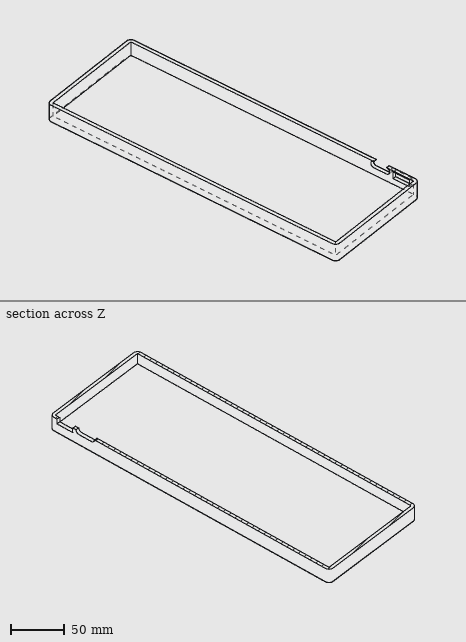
import cadquery as cq

length = 348.0
width = 126.0
height = 20.0
wall = 4.0
floor_thickness = 4.0
corner_radius = 5.0

slot_center_x = 130.0
slot_straight_length = 15.0
slot_height = 7.5
slot_center_z = height - slot_height / 2

window_left = 145.5
window_right = 165.0
window_bottom = 10.75
window_height = 8.0


def tray():
    outer = cq.Workplane("XY").box(length, width, height, centered=(True, True, False))
    outer = outer.edges("|Z").fillet(corner_radius)
    cavity = cq.Workplane("XY", origin=(0, 0, floor_thickness)).box(
        length - 2 * wall,
        width - 2 * wall,
        height - floor_thickness,
        centered=(True, True, False),
    )
    return outer.cut(cavity)


def back_wall_sketch(x, z):
    """Sketch plane on the outer back face; a positive extrusion runs inward through the wall."""
    return cq.Workplane("XZ", origin=(x, width / 2, z))


def rim_slot():
    sketch = back_wall_sketch(slot_center_x, slot_center_z)
    return sketch.slot2D(slot_straight_length + slot_height, slot_height).extrude(wall)


def window():
    center_x = (window_left + window_right) / 2
    center_z = window_bottom + window_height / 2
    sketch = back_wall_sketch(center_x, center_z)
    return sketch.rect(window_right - window_left, window_height).extrude(wall)


result = tray().cut(rim_slot()).cut(window())